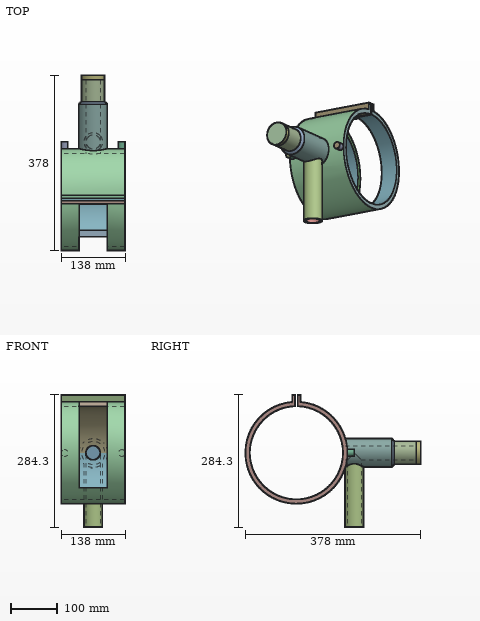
import cadquery as cq

RING_WIDTH = 138.0
RING_OUTER_RADIUS = 110.0
RING_WALL = 10.0
RING_INNER_RADIUS = RING_OUTER_RADIUS - RING_WALL

SPLIT_GAP = 5.0
LUG_THICKNESS = 6.8
LUG_TOP_Z = 124.5

WINDOW_WIDTH = 60.5
WINDOW_BOTTOM_Z = -75.0
WINDOW_BACK_Y = -10.0

PIN_DIAMETER = 14.7
PIN_END_Y = 125.0

BODY_DIAMETER = 62.0
BODY_END_Y = 205.5
SHOULDER_LENGTH = 5.5
NECK_DIAMETER = 50.0
BORE_DIAMETER = 30.5

CAP_THICKNESS = 9.5
CAP_END_Y = 268.0
NECK_END_Y = CAP_END_Y - CAP_THICKNESS

PIPE_DIAMETER = 40.0
PIPE_BORE_DIAMETER = 30.5
PIPE_CENTRE_Y = 124.5
PIPE_BOTTOM_Z = -159.8


def cylinder_x(radius, length):
    """Cylinder centred on the origin with its axis along X."""
    return cq.Workplane("YZ").circle(radius).extrude(length / 2, both=True)


def cylinder_y(diameter, end_y, x=0):
    """Cylinder along Y from the ring axis to end_y."""
    return cq.Workplane("XZ").center(x, 0).circle(diameter / 2).extrude(-end_y)


def side_cylinder(diameter):
    """Cylinder along the side pipe, from the spigot axis down to the pipe end."""
    return cq.Workplane("XY").center(0, PIPE_CENTRE_Y).circle(diameter / 2).extrude(PIPE_BOTTOM_Z)


def block(width, y_range, z_range):
    """Box centred on X that spans the given Y and Z ranges."""
    y_min, y_max = y_range
    z_min, z_max = z_range
    return (
        cq.Workplane("XY")
        .box(width, y_max - y_min, z_max - z_min)
        .translate((0, (y_min + y_max) / 2, (z_min + z_max) / 2))
    )


def make_spigot_blank():
    """Solid stepped spigot joined to the solid side pipe."""
    shoulder_end_y = BODY_END_Y + SHOULDER_LENGTH
    profile = [
        (0, 0),
        (BODY_DIAMETER / 2, 0),
        (BODY_DIAMETER / 2, BODY_END_Y),
        (NECK_DIAMETER / 2, shoulder_end_y),
        (NECK_DIAMETER / 2, NECK_END_Y),
        (0, NECK_END_Y),
    ]
    spigot = cq.Workplane("XY").polyline(profile).close().revolve(360, (0, 0), (0, 1))
    return spigot.union(side_cylinder(PIPE_DIAMETER))


def make_clamp():
    """Split ring with lugs, window and pins, in one piece with the hollow spigot and side pipe."""
    lugs_half_width = SPLIT_GAP / 2 + LUG_THICKNESS
    clamp = cylinder_x(RING_OUTER_RADIUS, RING_WIDTH)
    clamp = clamp.union(block(RING_WIDTH, (-lugs_half_width, lugs_half_width), (0, LUG_TOP_Z)))
    clamp = clamp.union(make_spigot_blank())
    for side in (-1, 1):
        pin_x = side * (RING_WIDTH - PIN_DIAMETER) / 2
        clamp = clamp.union(cylinder_y(PIN_DIAMETER, PIN_END_Y, pin_x))

    clamp = clamp.cut(cylinder_x(RING_INNER_RADIUS, RING_WIDTH))
    clamp = clamp.cut(block(RING_WIDTH, (-SPLIT_GAP / 2, SPLIT_GAP / 2), (0, LUG_TOP_Z)))
    window = block(
        WINDOW_WIDTH,
        (-RING_OUTER_RADIUS, WINDOW_BACK_Y),
        (WINDOW_BOTTOM_Z, RING_OUTER_RADIUS),
    )
    clamp = clamp.cut(window)
    clamp = clamp.cut(cylinder_y(BORE_DIAMETER, NECK_END_Y))
    return clamp.cut(side_cylinder(PIPE_BORE_DIAMETER))


def make_cap():
    """Flat disc flush with the neck, seated on the end of the spigot."""
    return (
        cq.Workplane("XZ", origin=(0, NECK_END_Y, 0))
        .circle(NECK_DIAMETER / 2)
        .extrude(-CAP_THICKNESS)
    )


clamp = make_clamp()
cap = make_cap()
result = cq.Compound.makeCompound([clamp.val(), cap.val()])